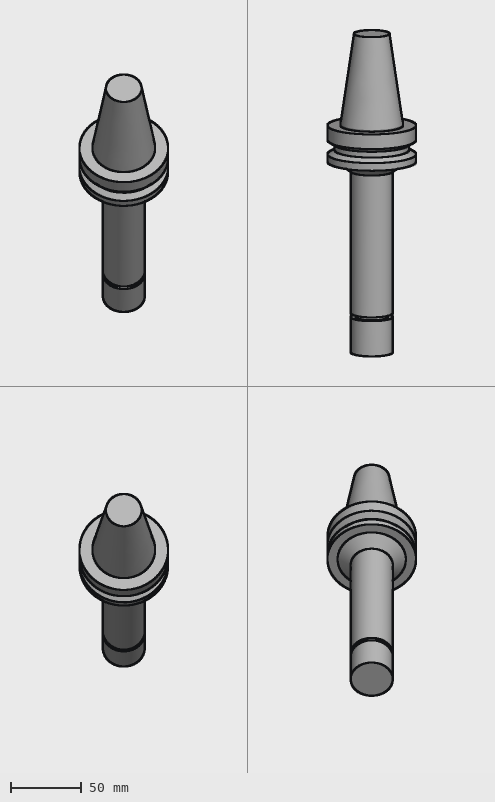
import cadquery as cq

TOTAL_HEIGHT = 230.5

SHANK_DIAMETER = 30.0
NUT_HEIGHT = 25.5
NECK_DIAMETER = 23.0
NECK_HEIGHT = 2.8

SHANK_TOP = 130.9
SHOULDER_HEIGHT = 7.0
SHOULDER_DIAMETER = 48.4

FLANGE_DIAMETER = 63.0
GROOVE_DIAMETER = 53.0
LOWER_RIM_HEIGHT = 5.5
GROOVE_FLANK_HEIGHT = 3.0
GROOVE_FLOOR_HEIGHT = 4.1
UPPER_RIM_HEIGHT = 10.5

COLLAR_HEIGHT = 1.0
TAPER_BASE_DIAMETER = 44.5
TAPER_TOP_DIAMETER = 25.3

neck_top = NUT_HEIGHT + NECK_HEIGHT
flange_bottom = SHANK_TOP + SHOULDER_HEIGHT
groove_bottom = flange_bottom + LOWER_RIM_HEIGHT
floor_bottom = groove_bottom + GROOVE_FLANK_HEIGHT
floor_top = floor_bottom + GROOVE_FLOOR_HEIGHT
groove_top = floor_top + GROOVE_FLANK_HEIGHT
flange_top = groove_top + UPPER_RIM_HEIGHT
taper_base = flange_top + COLLAR_HEIGHT


def revolve_profile(profile):
    """Revolve (diameter, height) points, closed along the axis, about Z."""
    bottom = profile[0][1]
    top = profile[-1][1]
    outline = [(0, bottom)]
    outline += [(diameter / 2, height) for diameter, height in profile]
    outline.append((0, top))
    return cq.Workplane("XZ").polyline(outline).close().revolve(360, (0, 0), (0, 1))


def make_holder():
    """Shank, shoulder, grooved flange and taper in one turned body."""
    return revolve_profile([
        (SHANK_DIAMETER, neck_top),
        (SHANK_DIAMETER, SHANK_TOP),
        (SHOULDER_DIAMETER, flange_bottom),
        (FLANGE_DIAMETER, flange_bottom),
        (FLANGE_DIAMETER, groove_bottom),
        (GROOVE_DIAMETER, floor_bottom),
        (GROOVE_DIAMETER, floor_top),
        (FLANGE_DIAMETER, groove_top),
        (FLANGE_DIAMETER, flange_top),
        (TAPER_BASE_DIAMETER, flange_top),
        (TAPER_BASE_DIAMETER, taper_base),
        (TAPER_TOP_DIAMETER, TOTAL_HEIGHT),
    ])


def make_nut():
    """Clamping nut with the narrow neck that meets the end of the shank."""
    return revolve_profile([
        (SHANK_DIAMETER, 0),
        (SHANK_DIAMETER, NUT_HEIGHT),
        (NECK_DIAMETER, NUT_HEIGHT),
        (NECK_DIAMETER, neck_top),
    ])


holder = make_holder()
nut = make_nut()

result = cq.Compound.makeCompound([holder.val(), nut.val()])